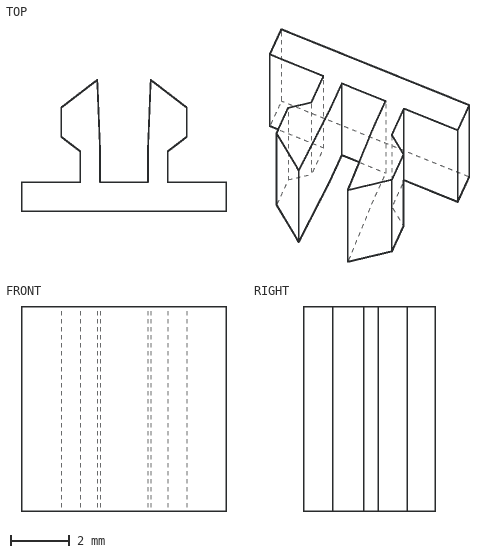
import cadquery as cq

plate_side = 7.0
plate_thickness = 1.0

total_depth = 4.5
leg_inner_x = 0.81
leg_outer_x = 1.5
barb_outer_x = 2.15
tip_x = 0.91
neck_end_y = 2.05
barb_start_y = 2.55
barb_end_y = 3.55


def make_plate():
    return cq.Workplane("XY").box(
        plate_side, plate_thickness, plate_side, centered=(True, False, True)
    )


def make_leg(side):
    """Barbed leg running the full plate height; side is +1 or -1 along X."""
    root_y = plate_thickness / 2
    outline = [
        (leg_inner_x, root_y),
        (leg_outer_x, root_y),
        (leg_outer_x, neck_end_y),
        (barb_outer_x, barb_start_y),
        (barb_outer_x, barb_end_y),
        (tip_x, total_depth),
        (leg_inner_x, neck_end_y),
    ]
    return (
        cq.Workplane("XY")
        .polyline([(side * x, y) for x, y in outline])
        .close()
        .extrude(plate_side / 2, both=True)
    )


result = make_plate()
for side in (-1, 1):
    result = result.union(make_leg(side))